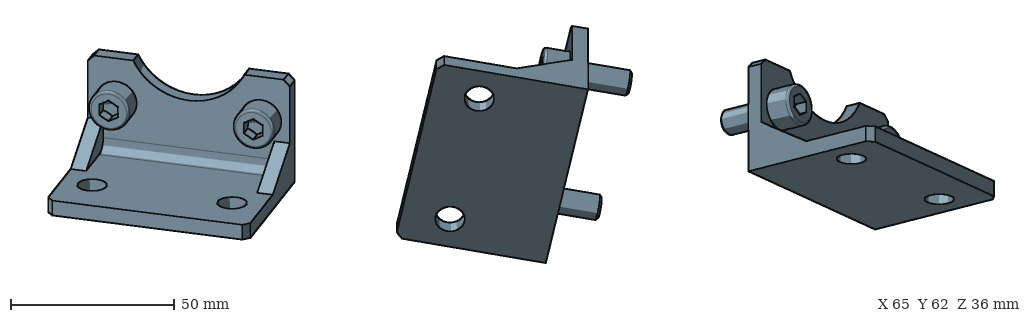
import cadquery as cq
import math


WIDTH = 65.0
HEIGHT = 36.0
DEPTH = 47.0
THICKNESS = 5.0
CORNER_CHAMFER = 2.0
INNER_FILLET = 4.0

CUTOUT_RADIUS = 20.0
CUTOUT_BOTTOM = 25.0

GUSSET_WIDTH = 5.0
GUSSET_TOP = 15.0
GUSSET_ANGLE = 30.0
GUSSET_REACH = THICKNESS + (GUSSET_TOP - THICKNESS) / math.tan(math.radians(GUSSET_ANGLE))

HOLE_DIAMETER = 9.0
HOLE_SPACING = 45.0
HOLE_SETBACK = 32.0

SCREW_SPACING = 46.5
SCREW_HEIGHT = 21.75
SHANK_DIAMETER = 8.0
SHANK_PROJECTION = 15.0
SHANK_CHAMFER = 0.8
HEAD_DIAMETER = 13.0
HEAD_LENGTH = 8.0
HEAD_FILLET = 0.8
HEX_ACROSS_FLATS = 6.0
HEX_DEPTH = 4.0
SOCKET_CONE_ANGLE = 120.0


def side_profile(points):
    """Extrude a closed (Y, Z) outline across the full width, centred on X = 0."""
    return cq.Workplane("YZ").polyline(points).close().extrude(WIDTH / 2, both=True)


def make_angle():
    """L-shaped plate with a rounded inner corner and chamfered free corners."""
    angle = side_profile([
        (0, 0),
        (0, HEIGHT),
        (-THICKNESS, HEIGHT),
        (-THICKNESS, THICKNESS),
        (-DEPTH, THICKNESS),
        (-DEPTH, 0),
    ])
    inner_corner = cq.selectors.NearestToPointSelector((0, -THICKNESS, THICKNESS))
    angle = angle.edges(inner_corner).fillet(INNER_FILLET)
    angle = angle.faces(">Z").edges("|Y").chamfer(CORNER_CHAMFER)
    return angle.faces("<Y").edges("|Z").chamfer(CORNER_CHAMFER)


def make_gussets():
    """Triangular webs flush with both ends of the bracket."""
    full_width = side_profile([
        (0, 0),
        (0, GUSSET_TOP),
        (-THICKNESS, GUSSET_TOP),
        (-GUSSET_REACH, THICKNESS),
        (-GUSSET_REACH, 0),
    ])
    gap = cq.Workplane("XY").box(WIDTH - 2 * GUSSET_WIDTH, 2 * DEPTH, 2 * HEIGHT)
    return full_width.cut(gap)


def make_cutout():
    """Cylinder that leaves the arc in the upper edge of the upright plate."""
    centre_height = CUTOUT_BOTTOM + CUTOUT_RADIUS
    return (
        cq.Workplane("XZ")
        .center(0, centre_height)
        .circle(CUTOUT_RADIUS)
        .extrude(THICKNESS)
    )


def make_base_holes():
    """Cylinders for the two mounting holes through the base."""
    return (
        cq.Workplane("XY")
        .pushPoints([(side * HOLE_SPACING / 2, -HOLE_SETBACK) for side in (-1, 1)])
        .circle(HOLE_DIAMETER / 2)
        .extrude(THICKNESS)
    )


def make_socket():
    """Hexagonal socket with a conical bottom, opening at Z = 0 and running down -Z."""
    across_corners = HEX_ACROSS_FLATS / math.cos(math.pi / 6)
    cone_radius = across_corners / 2
    cone_depth = cone_radius / math.tan(math.radians(SOCKET_CONE_ANGLE / 2))
    hexagon = (
        cq.Workplane("XY")
        .transformed(rotate=(0, 0, 90))
        .polygon(6, across_corners)
        .extrude(-HEX_DEPTH)
    )
    cone = cq.Workplane(
        cq.Solid.makeCone(
            cone_radius, 0, cone_depth, pnt=cq.Vector(0, 0, -HEX_DEPTH), dir=cq.Vector(0, 0, -1)
        )
    )
    hexagon_past_cone = hexagon.translate((0, 0, -cone_depth))
    return hexagon.union(cone.intersect(hexagon_past_cone))


def make_screw():
    """Cap screw along Z with the underside of its head at Z = 0 and its tip at -Z."""
    head = cq.Workplane("XY").circle(HEAD_DIAMETER / 2).extrude(HEAD_LENGTH)
    head = head.faces(">Z").edges().fillet(HEAD_FILLET)
    shank_length = THICKNESS + SHANK_PROJECTION
    shank = cq.Workplane("XY").circle(SHANK_DIAMETER / 2).extrude(-shank_length)
    shank = shank.faces("<Z").edges().chamfer(SHANK_CHAMFER)
    socket = make_socket().translate((0, 0, HEAD_LENGTH))
    return head.union(shank).cut(socket)


def place_screw(side):
    """Seat a screw on the front of the upright plate, tip toward +Y."""
    upright = make_screw().rotate((0, 0, 0), (1, 0, 0), 90)
    return upright.translate((side * SCREW_SPACING / 2, -THICKNESS, SCREW_HEIGHT))


result = make_angle().union(make_gussets()).cut(make_cutout()).cut(make_base_holes())
for side in (-1, 1):
    result = result.union(place_screw(side))